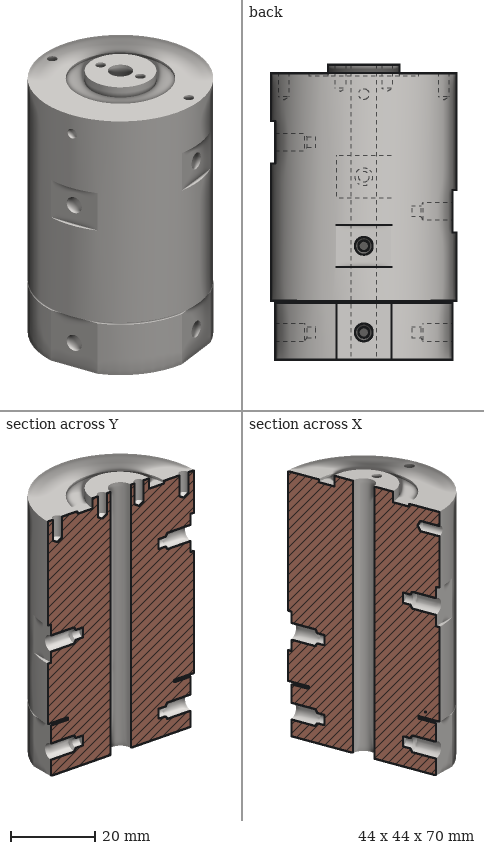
import cadquery as cq
import math

total_height = 70.0
body_top = 68.0
base_top = 13.5
body_bottom = 14.0

outer_diameter = 44.0
neck_diameter = 32.0
recess_diameter = 26.0
boss_diameter = 17.0
bore_diameter = 6.0
recess_depth = 0.7

flat_width = 13.0
flat_height = 10.0
base_port_height = 6.5
lowest_port_height = 27.0
port_pitch = 8.2

port_diameter = 4.2
port_depth = 7.0
passage_diameter = 2.5
passage_length = 2.1
drill_point_angle = 118.0

pin_diameter = 2.5
pin_depth = 5.6
boss_pin_radius = 5.5
body_pin_radius = 19.0
set_screw_height = 63.0

outer_radius = outer_diameter / 2
flat_distance = math.sqrt(outer_radius**2 - (flat_width / 2) ** 2)
drill_slope = math.tan(math.radians(drill_point_angle / 2))


def disc(diameter, bottom, top):
    """Cylinder on the Z axis between two heights."""
    return cq.Workplane("XY").workplane(offset=bottom).circle(diameter / 2).extrude(top - bottom)


def drill(diameter, depth):
    """Drill with a conical point, cutting from the origin down -Z."""
    radius = diameter / 2
    tip = depth + radius / drill_slope
    profile = [(0, 0), (radius, 0), (radius, -depth), (0, -tip)]
    return cq.Workplane("XZ").polyline(profile).close().revolve(360, (0, 0), (0, 1))


def port():
    """Port cutter from the origin down -Z: mouth, cone and narrow passage."""
    mouth = port_diameter / 2
    passage = passage_diameter / 2
    cone_end = port_depth + (mouth - passage) / drill_slope
    bottom = cone_end + passage_length
    profile = [
        (0, 0),
        (mouth, 0),
        (mouth, -port_depth),
        (passage, -cone_end),
        (passage, -bottom),
        (0, -bottom),
    ]
    return cq.Workplane("XZ").polyline(profile).close().revolve(360, (0, 0), (0, 1))


def to_side(cutter, distance, height, angle):
    """Lay a -Z cutter so it enters radially from the side at an angle about Z from +X."""
    return (
        cutter.rotate((0, 0, 0), (0, 1, 0), 90)
        .translate((distance, 0, height))
        .rotate((0, 0, 0), (0, 0, 1), angle)
    )


def flat(bottom, height, angle):
    """Block that trims the cylinder to a flat facing the given angle."""
    depth = outer_diameter - flat_distance
    return (
        cq.Workplane("XY")
        .box(depth, outer_diameter, height, centered=(False, True, False))
        .translate((flat_distance, 0, bottom))
        .rotate((0, 0, 0), (0, 0, 1), angle)
    )


part = disc(outer_diameter, 0, base_top)
part = part.union(disc(neck_diameter, base_top, body_bottom))
part = part.union(disc(outer_diameter, body_bottom, body_top))
part = part.cut(disc(recess_diameter, body_top - recess_depth, body_top))
part = part.union(disc(boss_diameter, body_top - recess_depth, total_height))
part = part.cut(disc(bore_diameter, 0, total_height))

for step, angle in enumerate([90, 180, 270, 0]):
    port_height = lowest_port_height + step * port_pitch
    part = part.cut(flat(0, base_top, angle))
    part = part.cut(flat(port_height - flat_height / 2, flat_height, angle))
    part = part.cut(to_side(port(), flat_distance, base_port_height, angle))
    part = part.cut(to_side(port(), flat_distance, port_height, angle))

for side in (-1, 1):
    pin = drill(pin_diameter, pin_depth)
    part = part.cut(pin.translate((side * boss_pin_radius, 0, total_height)))
    part = part.cut(pin.translate((side * body_pin_radius, 0, body_top)))

part = part.cut(to_side(drill(pin_diameter, pin_depth), outer_radius, set_screw_height, 270))

result = part